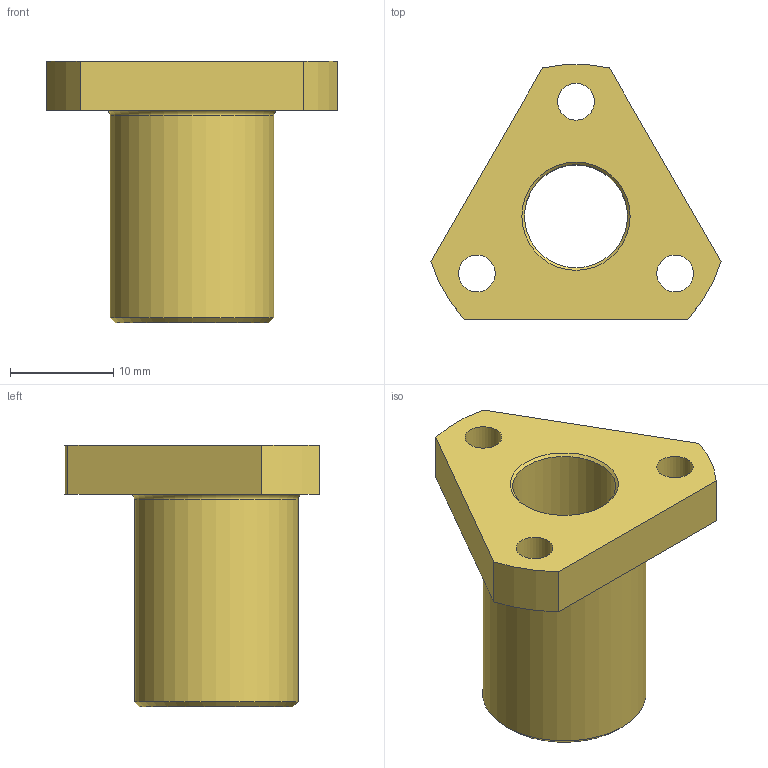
import cadquery as cq

total_height = 25.4
flange_thickness = 4.76
flange_radius = 14.75
flange_flat_distance = 10.0
barrel_diameter = 15.88
barrel_end_chamfer = 0.5
barrel_root_fillet = 0.5
bore_diameter = 10.0
bore_mouth_chamfer = 0.25
bolt_hole_diameter = 3.57
bolt_circle_radius = 11.11
corner_count = 3
first_corner_angle = 90

flange_bottom = -flange_thickness
barrel_bottom = -total_height
barrel_length = total_height - flange_thickness


def make_flange():
    """Disc trimmed by three flats, with one rounded corner pointing along +Y."""
    disc = cq.Workplane("XY").workplane(offset=flange_bottom).circle(flange_radius).extrude(flange_thickness)
    triangle_radius = 2 * flange_flat_distance
    triangle = (
        cq.Workplane("XY")
        .workplane(offset=flange_bottom)
        .transformed(rotate=(0, 0, first_corner_angle))
        .polygon(corner_count, 2 * triangle_radius)
        .extrude(flange_thickness)
    )
    return disc.intersect(triangle)


def make_barrel():
    """Cylinder below the flange, chamfered at its free end."""
    return (
        cq.Workplane("XY")
        .workplane(offset=barrel_bottom)
        .circle(barrel_diameter / 2)
        .extrude(barrel_length)
        .faces("<Z")
        .chamfer(barrel_end_chamfer)
    )


def fillet_barrel_root(body):
    """Round the inside corner where the barrel meets the underside of the flange."""
    root_edge = cq.selectors.RadiusNthSelector(0)
    return body.faces("<Z[1]").edges("%CIRCLE").edges(root_edge).fillet(barrel_root_fillet)


def cut_bore(body):
    """Through bore with a chamfered mouth in the top face."""
    mouth_radius = bore_diameter / 2 + bore_mouth_chamfer
    bore = cq.Workplane("XY").workplane(offset=barrel_bottom).circle(bore_diameter / 2).extrude(total_height)
    mouth = cq.Workplane(
        cq.Solid.makeCone(
            mouth_radius,
            bore_diameter / 2,
            bore_mouth_chamfer,
            pnt=cq.Vector(0, 0, 0),
            dir=cq.Vector(0, 0, -1),
        )
    )
    return body.cut(bore).cut(mouth)


def cut_bolt_holes(body):
    """One through hole in each corner of the flange."""
    holes = (
        cq.Workplane("XY")
        .workplane(offset=flange_bottom)
        .polarArray(bolt_circle_radius, first_corner_angle, 360, corner_count)
        .circle(bolt_hole_diameter / 2)
        .extrude(flange_thickness)
    )
    return body.cut(holes)


body = make_flange().union(make_barrel())
body = fillet_barrel_root(body)
body = cut_bore(body)
result = cut_bolt_holes(body)